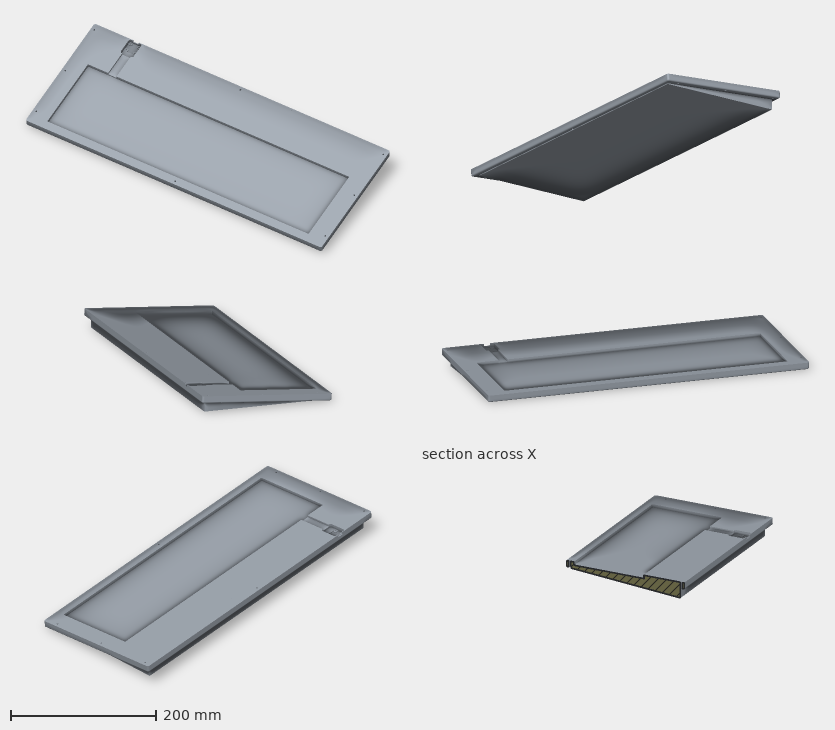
import cadquery as cq
import math

plate_width = 470.0
plate_depth = 190.94
plate_thickness = 10.0
tilt_angle = 4.48
plate_lift = 0.59
corner_radius = 2.9
bottom_edge_radius = 2.0

tray_width = 415.0
tray_depth = 112.5
tray_front_margin = 12.6
tray_recess = 5.0
tray_corner_radius = 1.0

bay_center_x = -168.85
bay_width = 20.0
bay_front_offset = 27.0
rear_wall = 1.0
bay_recess = 5.5
bay_corner_radius = 2.7

well_length = 17.0
well_extra = 1.0
pad_diameter = 5.4
pad_hole_diameter = 1.6
pad_hole_depth = 3.0
pad_hole_spacing_x = 13.2
pad_hole_spacing_y = well_length - pad_diameter

plug_slot_width = 9.0
plug_slot_recess = 3.5

channel_width = 13.2
channel_recess = 3.0

screw_diameter = 2.5
screw_inset = 5.4
side_screw_front = 20.5
side_screw_pitch = 80.3
side_screw_count = 3

wedge_side_inset = 11.0
wedge_rear_inset = 7.0
wedge_front_inset = 7.0

bay_front_y = plate_depth - bay_front_offset
bay_rear_y = plate_depth - rear_wall
well_middle_y = bay_rear_y - well_length / 2
tray_rear_y = tray_front_margin + tray_depth


def top_pocket(center_x, front_y, rear_y, width, recess):
    """Block to be removed from the flat plate, reaching down from its top face."""
    return (
        cq.Workplane("XY")
        .box(width, rear_y - front_y, recess, centered=(True, False, False))
        .translate((center_x, front_y, plate_thickness - recess))
    )


def make_plate():
    return (
        cq.Workplane("XY")
        .box(plate_width, plate_depth, plate_thickness, centered=(True, False, False))
        .edges("|Z")
        .fillet(corner_radius)
        .faces("<Z")
        .edges()
        .fillet(bottom_edge_radius)
    )


def make_tray():
    tray = top_pocket(0, tray_front_margin, tray_rear_y, tray_width, tray_recess)
    return tray.edges("|Z").fillet(tray_corner_radius)


def make_channel():
    """Passage that starts a little inside the tray so that it opens fully into it."""
    channel_front_y = tray_rear_y - tray_corner_radius
    return top_pocket(bay_center_x, channel_front_y, bay_front_y, channel_width, channel_recess)


def pad_centers():
    return [
        (bay_center_x + side * pad_hole_spacing_x / 2, well_middle_y + end * pad_hole_spacing_y / 2)
        for side in (-1, 1)
        for end in (-1, 1)
    ]


def make_well():
    """Recess below the bay floor, without the four corner pads."""
    recess = bay_recess + well_extra
    well_front_y = bay_rear_y - well_length
    well = top_pocket(bay_center_x, well_front_y, bay_rear_y, bay_width, recess)
    side_fill = (bay_width - pad_hole_spacing_x) / 2
    for x, y in pad_centers():
        side = math.copysign(1, x - bay_center_x)
        boss = cq.Workplane("XY").center(x, y).circle(pad_diameter / 2).extrude(plate_thickness)
        fill = (
            cq.Workplane("XY")
            .center(x + side * side_fill / 2, y)
            .rect(side_fill, pad_diameter)
            .extrude(plate_thickness)
        )
        well = well.cut(boss).cut(fill)
    return well


def make_bay():
    """Connector bay with its well, the plug slot through the rear wall and the pad holes."""
    bay = top_pocket(bay_center_x, bay_front_y, bay_rear_y, bay_width, bay_recess)
    bay = bay.edges("|Z").fillet(bay_corner_radius)
    slot_front_y = bay_rear_y - rear_wall
    plug_slot = top_pocket(bay_center_x, slot_front_y, plate_depth, plug_slot_width, plug_slot_recess)
    pad_holes = (
        cq.Workplane("XY", origin=(0, 0, plate_thickness - bay_recess))
        .pushPoints(pad_centers())
        .circle(pad_hole_diameter / 2)
        .extrude(-pad_hole_depth)
    )
    return bay.union(make_well()).union(plug_slot).union(pad_holes)


def make_screw_holes():
    side_x = plate_width / 2 - screw_inset
    centers = [(0, screw_inset), (0, plate_depth - screw_inset)]
    for row in range(side_screw_count):
        y = side_screw_front + row * side_screw_pitch
        centers += [(-side_x, y), (side_x, y)]
    return cq.Workplane("XY").pushPoints(centers).circle(screw_diameter / 2).extrude(plate_thickness)


def tilt(body):
    """Raise the rear by turning about the axis of the rounded front bottom edge, then lift."""
    axis_start = (0, bottom_edge_radius, bottom_edge_radius)
    axis_end = (1, bottom_edge_radius, bottom_edge_radius)
    return body.rotate(axis_start, axis_end, tilt_angle).translate((0, 0, plate_lift))


def make_wedge():
    """Flat-bottomed support that fills the gap below the tilted plate."""
    angle = math.radians(tilt_angle)
    underside_y = bottom_edge_radius * (1 + math.tan(angle / 2)) - plate_lift / math.tan(angle)
    toe_y = wedge_front_inset
    heel_y = plate_depth * math.cos(angle) - wedge_rear_inset
    toe_height = (toe_y - underside_y) * math.tan(angle)
    heel_height = (heel_y - underside_y) * math.tan(angle)
    width = plate_width - 2 * wedge_side_inset
    return (
        cq.Workplane("YZ", origin=(-width / 2, 0, 0))
        .polyline([(toe_y, 0), (heel_y, 0), (heel_y, heel_height), (toe_y, toe_height)])
        .close()
        .extrude(width)
    )


plate = make_plate()
for cutter in (make_tray(), make_channel(), make_bay(), make_screw_holes()):
    plate = plate.cut(cutter)

result = tilt(plate).union(make_wedge())